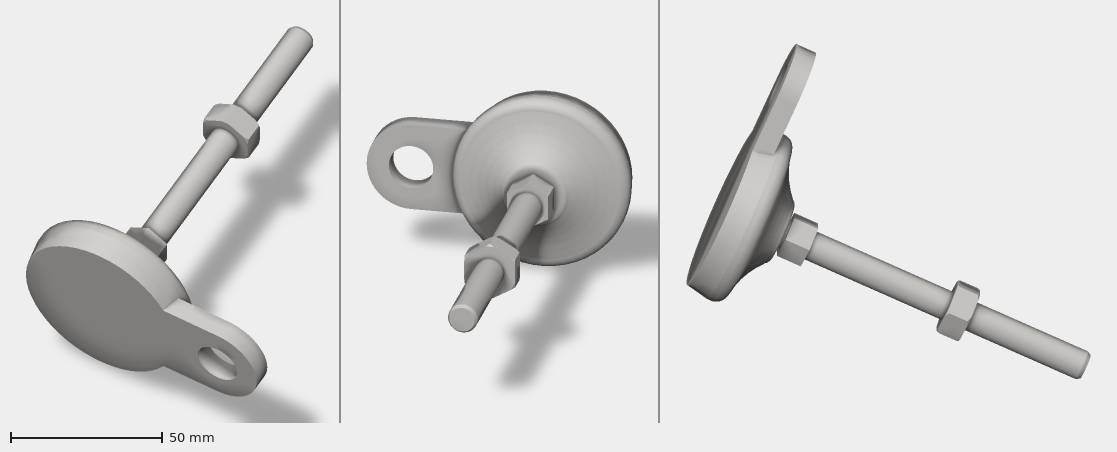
import cadquery as cq
import math

total_height = 132.0
total_length = 90.0

base_diameter = 60.0
base_radius = base_diameter / 2
sole_radius = 28.5
taper_height = 7.8
rim_height = 9.2
shoulder_radius = 26.4
shoulder_height = 13.3
crown_radius = 11.5
crown_height = 20.7
base_top_radius = 9.5
base_height = 21.9
flare_sag = 1.2
crown_sag = 0.3

lug_radius = 15.0
lug_thickness = 7.0
lug_hole_diameter = 15.0
lug_reach = total_length - base_radius
lug_center = lug_reach - lug_radius

stud_diameter = 10.0
stud_chamfer_length = 1.3
stud_chamfer_depth = 0.8
fixed_hex_flats = 14.0
fixed_hex_start = 23.1
fixed_hex_height = 8.7
nut_flats = 17.2
nut_start = 81.8
nut_height = 8.0
nut_chamfer_length = 0.8
nut_chamfer_depth = 0.8


def plane_at(height):
    """Plane facing +Y, whose local x axis is the global Z axis."""
    return cq.Workplane(cq.Plane(origin=(0, height, 0), xDir=(0, 0, 1), normal=(0, 1, 0)))


def corner_diameter(flats):
    return flats / math.cos(math.pi / 6)


def hexagon(start, height, flats):
    """Hexagonal prism with two corners pointing along Z."""
    return plane_at(start).polygon(6, corner_diameter(flats)).extrude(height)


def revolve_about_y(outline):
    return outline.close().revolve(360, (0, 0, 0), (0, 1, 0))


def arc_middle(start, end, sag):
    """Point on an arc, displaced by sag to the right of the start-to-end chord."""
    dx = end[0] - start[0]
    dy = end[1] - start[1]
    chord = math.hypot(dx, dy)
    return ((start[0] + end[0]) / 2 + dy / chord * sag, (start[1] + end[1]) / 2 - dx / chord * sag)


def make_base():
    """Tapered disc with a rounded rim and a concave flare up to the crown."""
    rim = (base_radius, rim_height)
    shoulder = (shoulder_radius, shoulder_height)
    crown = (crown_radius, crown_height)
    top_edge = (base_top_radius, base_height)
    rim_sag = math.dist(rim, shoulder) * (math.sqrt(2) - 1) / 2
    outline = (
        cq.Workplane("XY")
        .lineTo(sole_radius, 0)
        .lineTo(base_radius, taper_height)
        .lineTo(*rim)
        .threePointArc(arc_middle(rim, shoulder, rim_sag), shoulder)
        .threePointArc(arc_middle(shoulder, crown, -flare_sag), crown)
        .threePointArc(arc_middle(crown, top_edge, crown_sag), top_edge)
        .lineTo(0, base_height)
    )
    return revolve_about_y(outline)


def make_lug():
    """Flat round-ended tab along +X, before its hole is cut."""
    outline = (
        cq.Workplane("XZ")
        .moveTo(0, -lug_radius)
        .lineTo(lug_center, -lug_radius)
        .threePointArc((lug_reach, 0), (lug_center, lug_radius))
        .lineTo(0, lug_radius)
        .close()
    )
    return outline.extrude(-lug_thickness)


def make_lug_hole():
    return cq.Workplane("XZ").center(lug_center, 0).circle(lug_hole_diameter / 2).extrude(-lug_thickness)


def make_stud():
    """Plain stud rising from inside the base, with a chamfered tip."""
    stud_radius = stud_diameter / 2
    outline = (
        cq.Workplane("XY")
        .moveTo(0, rim_height)
        .lineTo(stud_radius, rim_height)
        .lineTo(stud_radius, total_height - stud_chamfer_length)
        .lineTo(stud_radius - stud_chamfer_depth, total_height)
        .lineTo(0, total_height)
    )
    return revolve_about_y(outline)


def make_nut():
    """Lock nut with its corners chamfered at both ends."""
    corner_radius = corner_diameter(nut_flats) / 2
    end_radius = corner_radius - nut_chamfer_depth
    nut_end = nut_start + nut_height
    envelope = revolve_about_y(
        cq.Workplane("XY")
        .moveTo(0, nut_start)
        .lineTo(end_radius, nut_start)
        .lineTo(corner_radius, nut_start + nut_chamfer_length)
        .lineTo(corner_radius, nut_end - nut_chamfer_length)
        .lineTo(end_radius, nut_end)
        .lineTo(0, nut_end)
    )
    return hexagon(nut_start, nut_height, nut_flats).intersect(envelope)


fixed_hex = hexagon(fixed_hex_start, fixed_hex_height, fixed_hex_flats)
foot = make_base().union(make_lug()).cut(make_lug_hole())
result = foot.union(make_stud()).union(fixed_hex).union(make_nut())